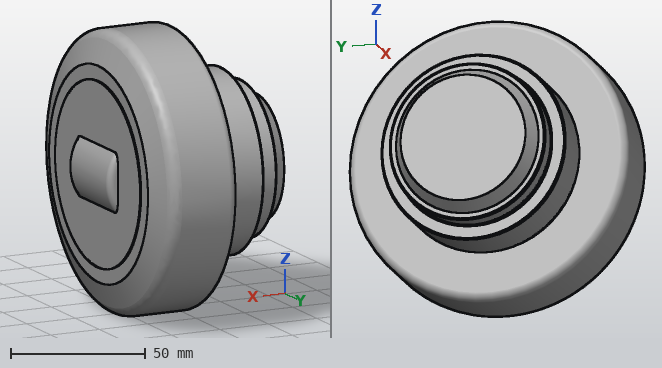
import cadquery as cq
import math

nose_end = 5.9
step_end = 14.0
collar_end = 33.8
flange_end = 64.9
boss_end = 65.4
button_end = 69.1

nose_end_radius = 27.5
step_radius = 60.0 / 2
collar_radius = 71.0 / 2
groove_outer_radius = 30.5
flange_radius = 53.8
flange_face_radius = 41.2

edge_chamfer = 0.5
flange_back_fillet = 3.0
flange_front_fillet = 5.0
nose_angle = math.radians(30)
bevel_angle = math.radians(20)

button_radius = 19.5
button_length = 34.0
button_fillet = 2.5


def disc(start, end, radius):
    """Cylinder along X between two axial positions."""
    return cq.Workplane("YZ", origin=(start, 0, 0)).circle(radius).extrude(end - start)


def make_nose():
    tip_radius = nose_end_radius - nose_end * math.tan(nose_angle)
    profile = [(0, 0), (0, tip_radius), (nose_end, nose_end_radius), (nose_end, 0)]
    return cq.Workplane("XY").polyline(profile).close().revolve(360, (0, 0, 0), (1, 0, 0))


def make_groove():
    """V-shaped ring cut into the collar face where it meets the step."""
    inner_radius = step_radius - edge_chamfer
    depth = (groove_outer_radius - inner_radius) / 2
    profile = [
        (step_end, inner_radius),
        (step_end, groove_outer_radius),
        (step_end + depth, inner_radius + depth),
    ]
    return cq.Workplane("XY").polyline(profile).close().revolve(360, (0, 0, 0), (1, 0, 0))


def make_flange():
    bevel_length = (flange_radius - flange_face_radius) * math.tan(bevel_angle)
    bevel_start = flange_end - bevel_length
    profile = [
        (collar_end, 0),
        (collar_end, flange_radius),
        (bevel_start, flange_radius),
        (flange_end, flange_face_radius),
        (flange_end, 0),
    ]
    flange = cq.Workplane("XY").polyline(profile).close().revolve(360, (0, 0, 0), (1, 0, 0))
    flange = flange.edges("<X").fillet(flange_back_fillet)
    bevel_edge = flange.edges(cq.selectors.BoxSelector(
        (bevel_start - edge_chamfer, -flange_radius, -flange_radius),
        (bevel_start + edge_chamfer, flange_radius, flange_radius),
    ))
    return bevel_edge.fillet(flange_front_fillet)


def make_button():
    axis_x = button_end - button_radius
    bar = (
        cq.Workplane("XZ", origin=(axis_x, 0, 0))
        .circle(button_radius)
        .extrude(button_length / 2, both=True)
    )
    return bar.faces("<Y or >Y").edges().fillet(button_fillet)


step = disc(nose_end, step_end, step_radius).faces("<X or >X").chamfer(edge_chamfer)
collar = disc(step_end, collar_end, collar_radius).faces("<X or >X").chamfer(edge_chamfer)
boss = disc(flange_end, boss_end, collar_radius)


result = (
    make_nose()
    .union(step)
    .union(collar)
    .cut(make_groove())
    .union(make_flange())
    .union(boss)
    .union(make_button())
)